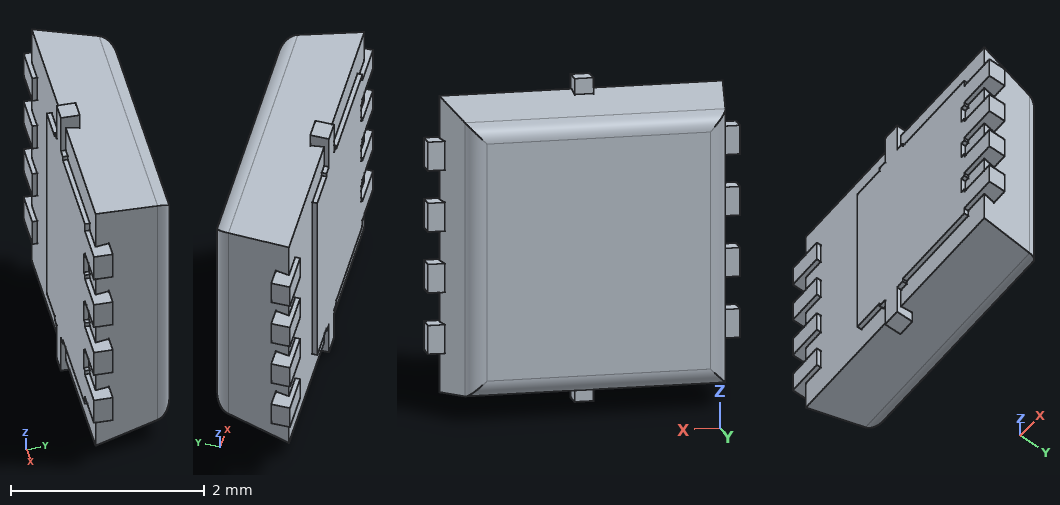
import cadquery as cq


overall_width = 3.3
overall_length = 3.45
overall_height = 0.9

housing_width = 2.998
housing_length = 3.165
standoff = 0.052
draft_angle = 10.0
top_fillet = 0.2

metal_thickness = 0.2
lead_count = 4
lead_pitch = 0.652
lead_width = 0.307
lead_length = 0.405

pad_left_x = -0.565
pad_right_x = 1.228
pad_length = 2.453
pad_step = 0.05
shoulder_width = 0.39
tie_bar_width = 0.2

housing_height = overall_height - standoff
lead_tip_x = overall_width / 2
lead_positions = [(i - (lead_count - 1) / 2) * lead_pitch for i in range(lead_count)]
gap_positions = [(lower + upper) / 2 for lower, upper in zip(lead_positions, lead_positions[1:])]
notch_width = lead_pitch - lead_width - 2 * pad_step


def metal_block(x_min, x_max, z_center, z_size):
    """Rectangular block of the lead metal, resting on the solder plane."""
    return cq.Workplane("XY").box(
        x_max - x_min, metal_thickness, z_size, centered=(False, False, True)
    ).translate((x_min, 0, z_center))


def make_source_lead(z_center):
    """Short separate lead on the -X side."""
    return metal_block(-lead_tip_x, -lead_tip_x + lead_length, z_center, lead_width)


def make_drain_pad():
    """Large pad with two tie bars and four leads on the +X side."""
    pad = metal_block(pad_left_x, pad_right_x, 0, pad_length)

    for z_center in gap_positions:
        pad = pad.cut(metal_block(pad_right_x - pad_step, pad_right_x, z_center, notch_width))

    pad = pad.union(
        metal_block(-shoulder_width / 2, shoulder_width / 2, 0, pad_length + 2 * pad_step)
    )
    pad = pad.union(metal_block(-tie_bar_width / 2, tie_bar_width / 2, 0, overall_length))

    for z_center in lead_positions:
        pad = pad.union(metal_block(pad_right_x - pad_step, lead_tip_x, z_center, lead_width))
    return pad


def make_housing(embedded_metal):
    """Drafted, round-topped block with a pocket for each metal body."""
    body = (
        cq.Workplane("XZ", origin=(0, standoff, 0))
        .rect(housing_width, housing_length)
        .extrude(-housing_height, taper=draft_angle)
        .faces(">Y")
        .edges()
        .fillet(top_fillet)
    )
    for metal in embedded_metal:
        body = body.cut(metal)
    return body


source_leads = [make_source_lead(z_center) for z_center in lead_positions]
drain_pad = make_drain_pad()
housing = make_housing([drain_pad, *source_leads])

result = cq.Compound.makeCompound(
    [
        housing.solids().val(),
        drain_pad.solids().val(),
        *[lead.solids().val() for lead in source_leads],
    ]
)